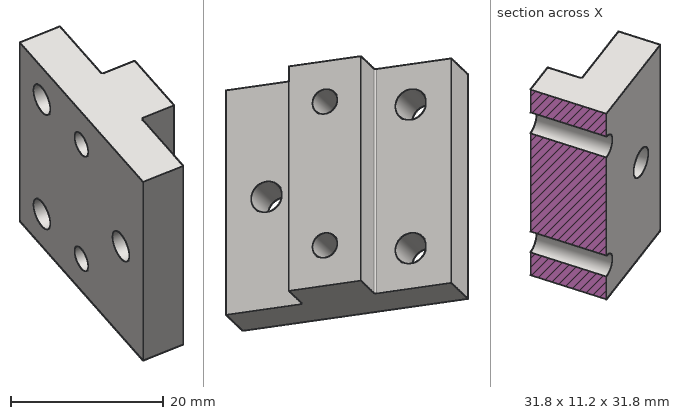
import cadquery as cq

side = 31.75
total_depth = 11.18
plate_thickness = 6.15
rib_width = 10.15
corner_radius = 0.25

hole_pitch = 10.15
large_hole_diameter = 4.32
small_hole_diameter = 3.5
large_hole_centres = [(-hole_pitch, hole_pitch), (-hole_pitch, -hole_pitch), (hole_pitch, 0)]
small_hole_centres = [(0, hole_pitch), (0, -hole_pitch)]


def make_block(width, depth):
    """Block of full height with its front face on Y = 0, extending toward +Y."""
    return cq.Workplane("XY").box(width, depth, side).translate((0, depth / 2, 0))


def make_holes(centres, diameter):
    """Cylinders along +Y at the given (X, Z) centres."""
    return (
        cq.Workplane("XZ")
        .pushPoints(centres)
        .circle(diameter / 2)
        .extrude(-total_depth)
    )


body = make_block(side, plate_thickness).union(make_block(rib_width, total_depth))

for side_sign in (-1, 1):
    corner = (side_sign * rib_width / 2, plate_thickness, 0)
    body = body.edges(cq.selectors.NearestToPointSelector(corner)).fillet(corner_radius)

result = (
    body
    .cut(make_holes(large_hole_centres, large_hole_diameter))
    .cut(make_holes(small_hole_centres, small_hole_diameter))
)